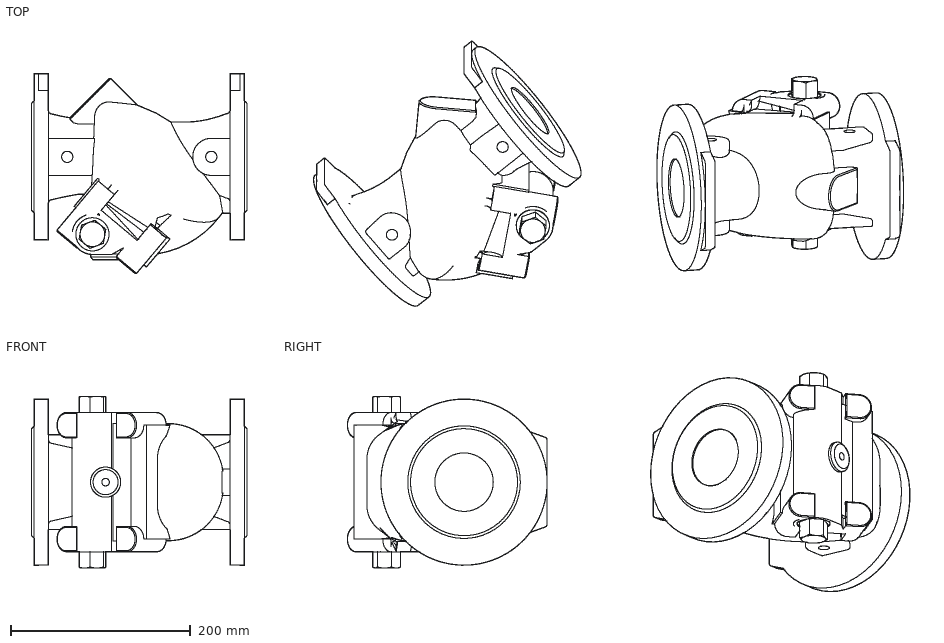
import cadquery as cq
import math

overall_length = 240.0
half_length = overall_length / 2
flange_diameter = 185.0
flange_radius = flange_diameter / 2
flange_thickness = 15.8
raised_face_height = 3.0
raised_face_diameter = 125.3
port_diameter = 65.0
port_recess_depth = 2.0
foot_thickness = 11.3
foot_half_width = 49.2
foot_spread = 56.0
foot_shoulder_y = 74.0
foot_corner_radius = 3.8
flange_back = half_length - raised_face_height - flange_thickness

neck_root_fillet = 4.0
neck_inlet_root_radius = 47.8
neck_inlet_waist_radius = 41.8
neck_inlet_waist_x = 67.2
neck_outlet_root_radius = 48.2
neck_outlet_waist_radius = 39.0
neck_outlet_waist_x = 52.8
neck_outlet_middle_radius = 42.5
neck_outlet_middle_x = 79.2

chamber_half_height = 65.3
dome_center = (-46.5, -76.8)
dome_flat_radius = 79.7
dome_outer_radius = 141.5
chamber_wall_point = (-51.5, 0.0)
chamber_wall_tilt = math.radians(-2.5)
chamber_wall_round = 15.5
belly_start = (20.5, -108.0)
belly_middle = (54.7, -96.2)
belly_end = (92.5, -62.5)
belly_fillet = 39.4

cover_angle = math.radians(50)
cover_half_height = 77.5
cover_back_depth = 72.7
cover_front_bend_x = -30.7
joint_depth = 81.0
joint_front_depth = 88.8
joint_back_depth = 48.0
joint_left = -20.2
joint_right = 85.0
lug_height = 28.3
lug_radius = lug_height / 2
lug_center_z = cover_half_height - lug_radius
lug_back_depth = 50.0
lug_edge_chamfer = 1.2
lug_blend_radius = 6.2
blend_overlap = 4.8
left_lug_outer = -17.8
left_lug_inner = 5.8
left_lug_face_inner = 12.7
left_lug_depth = 122.5
right_lug_outer = 81.0
right_lug_inner = 57.8
right_lug_face_inner = 51.5
right_lug_depth = 102.5

hinge_center = (-52.0, -86.2)
hinge_radius = 22.5
bolt_corner_diameter = 31.7
bolt_cap_chamfer = 1.5
bolt_top = 95.5
bolt_seat_diameter = 37.0
bolt_seat_depth = 1.5

plug_x = -37.5
plug_diameter = 33.5
plug_chamfer = 3.0
plug_front_y = -114.5
plug_hole_diameter = 8.5
plug_hole_depth = 3.5

pad_top = 52.8
pad_half_width = 20.6
pad_edge_round = 3.0
pad_inlet_end_x = -48.0
pad_hole_x = 80.2
pad_hole_diameter = 12.5
pad_hole_depth = 3.8

boss_angle = math.radians(45)
boss_face_distance = 85.5
boss_axis_offset = 7.2
boss_half_width = 32.2
boss_half_height = 20.5
boss_chamfer = 1.5
web_start_x = 81.5
web_half_height = 15.0
web_y_min = -63.0
web_y_max = -40.3
web_round = 4.8


def cover_point(across, depth):
    """Plan position (x, y) of a point given along and out from the cover."""
    x = across * math.sin(cover_angle) - depth * math.cos(cover_angle)
    y = -across * math.cos(cover_angle) - depth * math.sin(cover_angle)
    return (x, y)


def cover_plane(depth):
    """Plane parallel to the cover: local x runs across, local y is +Z, normal points outward."""
    x, y = cover_point(0, depth)
    across_direction = (math.sin(cover_angle), -math.cos(cover_angle), 0)
    outward = (-math.cos(cover_angle), -math.sin(cover_angle), 0)
    return cq.Plane(origin=(x, y, 0), xDir=across_direction, normal=outward)


def plan_prism(workplane, half_height):
    return workplane.extrude(half_height, both=True)


def with_mirror(shape, plane):
    return shape.union(shape.mirror(plane))


def make_flange():
    """Outlet flange (+X side) with its foot and raised face."""
    back = cq.Workplane("YZ").workplane(offset=flange_back)
    flange = back.circle(flange_radius).extrude(flange_thickness)
    foot = (
        back.moveTo(0, -foot_spread)
        .lineTo(foot_shoulder_y, -foot_spread)
        .lineTo(flange_radius, -foot_half_width)
        .lineTo(flange_radius, foot_half_width)
        .lineTo(foot_shoulder_y, foot_spread)
        .lineTo(0, foot_spread)
        .close()
        .extrude(foot_thickness)
        .edges("|X and >Y")
        .fillet(foot_corner_radius)
    )
    raised_face = (
        back.circle(raised_face_diameter / 2)
        .extrude(flange_thickness + raised_face_height)
        .faces(">X")
        .chamfer(0.99 * raised_face_height)
    )
    recess = (
        cq.Workplane("YZ")
        .workplane(offset=half_length - port_recess_depth)
        .circle(port_diameter / 2)
        .extrude(port_recess_depth)
    )
    return flange.union(foot).union(raised_face).cut(recess)


def make_necks():
    """Flared pipe stubs from the flanges into the chamber."""
    inlet_root_x = -flange_back + neck_root_fillet
    inlet = (
        cq.Workplane("XY")
        .moveTo(-flange_back, 0)
        .lineTo(-flange_back, neck_inlet_root_radius + neck_root_fillet)
        .radiusArc((inlet_root_x, neck_inlet_root_radius), -neck_root_fillet)
        .lineTo(-neck_inlet_waist_x, neck_inlet_waist_radius)
        .lineTo(0, neck_inlet_waist_radius)
        .lineTo(0, 0)
        .close()
        .revolve(360, (0, 0, 0), (1, 0, 0))
    )
    outlet = (
        cq.Workplane("XY")
        .lineTo(0, neck_outlet_waist_radius)
        .lineTo(neck_outlet_waist_x, neck_outlet_waist_radius)
        .threePointArc(
            (neck_outlet_middle_x, neck_outlet_middle_radius),
            (flange_back - neck_root_fillet, neck_outlet_root_radius),
        )
        .radiusArc((flange_back, neck_outlet_root_radius + neck_root_fillet), -neck_root_fillet)
        .lineTo(flange_back, 0)
        .close()
        .revolve(360, (0, 0, 0), (1, 0, 0))
    )
    return inlet.union(outlet)


def make_chamber():
    """Flat-topped dome trimmed by a left wall and a rounded belly."""
    dome = (
        cq.Workplane("XZ", origin=(dome_center[0], dome_center[1], 0))
        .moveTo(0, -chamber_half_height)
        .lineTo(dome_flat_radius, -chamber_half_height)
        .ellipseArc(
            dome_outer_radius - dome_flat_radius,
            chamber_half_height,
            -90,
            90,
            startAtCurrent=True,
        )
        .lineTo(0, chamber_half_height)
        .close()
        .revolve(360, (0, 0, 0), (0, 1, 0))
    )
    dome = dome.rotate((*dome_center, 0), (*dome_center, 1), 180)
    wall_x, wall_y = chamber_wall_point
    wall_normal = (-math.cos(chamber_wall_tilt), -math.sin(chamber_wall_tilt), 0)
    wall_trim = (
        cq.Workplane(cq.Plane(origin=(wall_x, wall_y, 0), xDir=(0, 0, 1), normal=wall_normal))
        .rect(4 * dome_outer_radius, 4 * dome_outer_radius)
        .extrude(2 * dome_outer_radius)
    )
    wall_face = cq.DirectionMinMaxSelector(cq.Vector(*wall_normal), True)
    dome = dome.cut(wall_trim).faces(wall_face).edges().fillet(chamber_wall_round)
    left = -dome_outer_radius
    right = dome_outer_radius
    outline = (
        cq.Workplane("XY")
        .moveTo(left, belly_start[1])
        .lineTo(*belly_start)
        .threePointArc(belly_middle, belly_end)
        .lineTo(right, belly_end[1])
        .lineTo(right, right)
        .lineTo(left, right)
        .close()
    )
    blank = plan_prism(outline, chamber_half_height)
    for z in (chamber_half_height, -chamber_half_height):
        blank = blank.edges(cq.NearestToPointSelector((*belly_middle, z))).fillet(belly_fillet)
    return dome.intersect(blank)


def make_lug(outer, inner, face_inner, face_depth):
    """Upper bolt lug: rounded on the outer side, wider in front of the joint."""
    def block(inside, start, end):
        left, right = sorted((outer, inside))
        outer_side = "<X" if outer < inside else ">X"
        return (
            cq.Workplane("XY")
            .box(right - left, lug_height, end - start, centered=False)
            .edges("|Z and " + outer_side)
            .fillet(lug_radius * 0.99)
            .translate((left, lug_center_z - lug_radius, start))
        )

    lug = block(inner, lug_back_depth, face_depth)
    lug = lug.union(block(face_inner, joint_depth, face_depth))
    lug = lug.faces(">Z").chamfer(lug_edge_chamfer)
    return cq.Workplane(lug.val().moved(cover_plane(0).location))


def make_cover():
    """Cover with its joint flange, hinge housing and four lugs."""
    joint_width = joint_right - joint_left
    joint = (
        cq.Workplane(cover_plane(joint_back_depth))
        .center((joint_left + joint_right) / 2, 0)
        .rect(joint_width, 2 * lug_center_z)
        .extrude(joint_front_depth - joint_back_depth)
    )
    housing_front_y = hinge_center[1] - hinge_radius
    outline = (
        cq.Workplane("XY")
        .moveTo(*hinge_center)
        .lineTo(hinge_center[0], housing_front_y)
        .lineTo(cover_front_bend_x, housing_front_y)
        .lineTo(*cover_point(right_lug_face_inner, joint_front_depth))
        .lineTo(*cover_point(right_lug_face_inner, joint_depth))
        .lineTo(*cover_point(right_lug_inner, joint_depth))
        .lineTo(*cover_point(right_lug_inner, cover_back_depth))
        .lineTo(*cover_point(left_lug_inner, cover_back_depth))
        .close()
    )
    cover = joint.union(plan_prism(outline, cover_half_height))
    housing = cq.Workplane("XY").center(*hinge_center).circle(hinge_radius)
    cover = cover.union(plan_prism(housing, cover_half_height))
    lugs = make_lug(left_lug_outer, left_lug_inner, left_lug_face_inner, left_lug_depth).union(
        make_lug(right_lug_outer, right_lug_inner, right_lug_face_inner, right_lug_depth)
    )
    return cover.union(with_mirror(lugs, "XY"))


def make_blend(start, end, depth, radius):
    """Concave blend from the chamber top up to a cover wall that faces inward at the given depth."""
    x, y = cover_point(start, depth)
    outward = (-math.cos(cover_angle), -math.sin(cover_angle), 0)
    across = (math.sin(cover_angle), -math.cos(cover_angle), 0)
    plane = cq.Plane(origin=(x, y, chamber_half_height), xDir=outward, normal=across)
    swing = radius * (1 - math.sqrt(0.5))
    return (
        cq.Workplane(plane)
        .moveTo(-radius, 0)
        .threePointArc((-swing, -swing), (0, -radius))
        .lineTo(blend_overlap, -radius)
        .lineTo(blend_overlap, blend_overlap)
        .lineTo(-radius, blend_overlap)
        .close()
        .extrude(end - start)
    )


def make_cover_blends():
    """Blends behind the cover and behind each lug, above and below."""
    cover_step = cover_half_height - chamber_half_height
    blends = make_blend(left_lug_inner, right_lug_inner, cover_back_depth, cover_step)
    left_start = left_lug_outer + lug_radius
    right_end = right_lug_outer - lug_radius
    blends = blends.union(make_blend(left_start, left_lug_inner, lug_back_depth, lug_blend_radius))
    blends = blends.union(make_blend(right_lug_inner, right_end, lug_back_depth, lug_blend_radius))
    return with_mirror(blends, "XY")


def cut_bolt_seat(body):
    seat = (
        cq.Workplane("XY", origin=(*hinge_center, cover_half_height - bolt_seat_depth))
        .circle(bolt_seat_diameter / 2)
        .extrude(bolt_seat_depth)
    )
    return body.cut(with_mirror(seat, "XY"))


def make_bolt_heads():
    """Hexagon heads above and below the hinge housing."""
    height = bolt_top - cover_half_height + bolt_seat_depth
    across_flats = bolt_corner_diameter * math.cos(math.pi / 6)
    head = cq.Workplane("XY").polygon(6, bolt_corner_diameter).extrude(height)
    rounding = (
        cq.Workplane("XY")
        .circle(across_flats / 2 + bolt_cap_chamfer * 2)
        .extrude(height)
        .faces(">Z")
        .chamfer(bolt_cap_chamfer, bolt_cap_chamfer * 2)
    )
    head = (
        head.intersect(rounding)
        .rotate((0, 0, 0), (0, 0, 1), math.degrees(cover_angle) - 90)
        .translate((*hinge_center, bolt_top - height))
    )
    return with_mirror(head, "XY")


def make_dimple(center, inward, diameter, depth):
    """Conical hole whose mouth is centred on the given point."""
    cone = cq.Solid.makeCone(diameter / 2, 0, depth, pnt=cq.Vector(*center), dir=cq.Vector(*inward))
    return cq.Workplane(cone)


def make_plug():
    """Round plug on the cover front with a conical centre hole."""
    depth = hinge_center[1] - plug_front_y
    plug = (
        cq.Workplane("XZ", origin=(plug_x, hinge_center[1], 0))
        .circle(plug_diameter / 2)
        .extrude(depth)
        .faces("<Y")
        .chamfer(plug_chamfer)
    )
    dimple = make_dimple((plug_x, plug_front_y, 0), (0, 1, 0), plug_hole_diameter, plug_hole_depth)
    return plug.cut(dimple)


def make_pads():
    """Gauge pads on both necks, each with a conical dimple."""
    inlet_length = flange_back + pad_inlet_end_x
    inlet = cq.Workplane("XY").center(pad_inlet_end_x - inlet_length / 2, 0)
    inlet = inlet.rect(inlet_length, 2 * pad_half_width).extrude(pad_top)
    outlet = (
        cq.Workplane("XY")
        .moveTo(flange_back, -pad_half_width)
        .lineTo(flange_back, pad_half_width)
        .lineTo(pad_hole_x, pad_half_width)
        .threePointArc((pad_hole_x - pad_half_width, 0), (pad_hole_x, -pad_half_width))
        .close()
        .extrude(pad_top)
    )
    inlet = inlet.faces(">Z").edges("|X").fillet(pad_edge_round)
    outlet = outlet.faces(">Z").edges("not >X").fillet(pad_edge_round)
    pads = inlet.union(outlet)
    for x in (-pad_hole_x, pad_hole_x):
        dimple = make_dimple((x, 0, pad_top), (0, 0, -1), pad_hole_diameter, pad_hole_depth)
        pads = pads.cut(dimple)
    return with_mirror(pads, "XY")


def make_side_boss():
    """Flat boss slanting up-left, rounded along its right-hand side."""
    along = (math.cos(boss_angle), math.sin(boss_angle), 0)
    outward = (-math.sin(boss_angle), math.cos(boss_angle), 0)
    origin = (boss_axis_offset * along[0], boss_axis_offset * along[1], 0)
    plane = cq.Plane(origin=origin, xDir=along, normal=outward)
    round_center = boss_half_width - boss_half_height
    return (
        cq.Workplane(plane)
        .moveTo(-boss_half_width, -boss_half_height)
        .lineTo(round_center, -boss_half_height)
        .threePointArc((boss_half_width, 0), (round_center, boss_half_height))
        .lineTo(-boss_half_width, boss_half_height)
        .close()
        .extrude(boss_face_distance)
        .faces(cq.DirectionMinMaxSelector(cq.Vector(*outward), True))
        .chamfer(boss_chamfer)
    )


def make_outlet_web():
    """Short web between the belly and the outlet flange."""
    length = flange_back - web_start_x
    return (
        cq.Workplane("XY")
        .box(length, web_y_max - web_y_min, 2 * web_half_height)
        .edges("|X")
        .fillet(web_round)
        .translate((web_start_x + length / 2, (web_y_min + web_y_max) / 2, 0))
    )


cover = make_cover().union(make_cover_blends()).union(make_plug())
body = make_chamber().union(cover)
body = body.union(make_necks()).union(make_side_boss())
body = body.union(make_pads()).union(make_outlet_web())
body = cut_bolt_seat(body)
body = body.union(with_mirror(make_flange(), "YZ"))
result = body.union(make_bolt_heads())